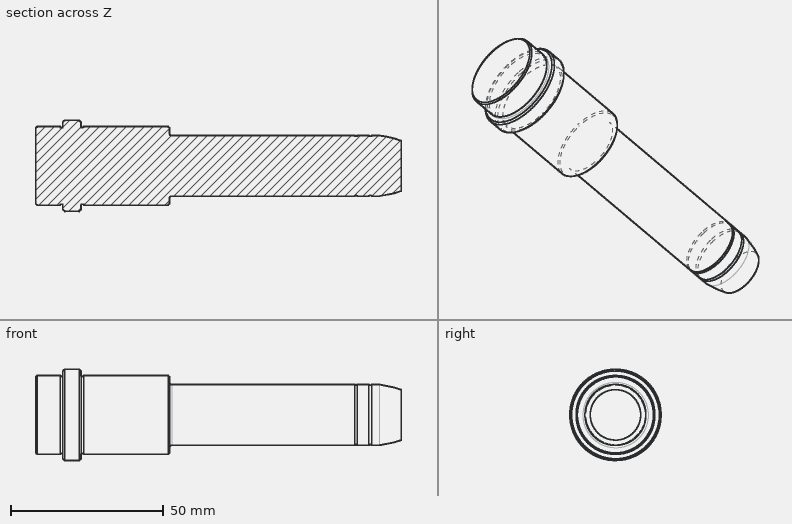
import cadquery as cq
import math

LENGTH = 120.0
COLLAR_START = 8.9
COLLAR_END = 14.9
SHOULDER_END = 43.9
TIP_START = 112.8

HEAD_RADIUS = 13.0
COLLAR_RADIUS = 30.0 / 2
SHANK_RADIUS = 20.0 / 2
TIP_RADIUS = 8.3

HEAD_CHAMFER = 0.5
COLLAR_CHAMFER = 0.6
SHOULDER_CHAMFER = 0.5
SHANK_FILLET = 0.7
RELIEF_WIDTH = 0.8
RELIEF_DEPTH = 0.4
TIP_BULGE = 0.2

SHANK_GROOVES = [(104.8, 0.7), (109.3, 1.0)]
SHANK_GROOVE_DEPTH = 0.2


def revolve_about_x(profile):
    return profile.close().revolve(360, (0, 0, 0), (1, 0, 0))


def pin_body():
    """Head, collar, seat, shank and rounded tip as one turned profile."""
    tip_middle = ((TIP_START + LENGTH) / 2, (SHANK_RADIUS + TIP_RADIUS) / 2 + TIP_BULGE)
    arc_offset = SHANK_FILLET * (1 - math.sqrt(0.5))
    profile = (
        cq.Workplane("XY")
        .moveTo(0, 0)
        .lineTo(0, HEAD_RADIUS - HEAD_CHAMFER)
        .lineTo(HEAD_CHAMFER, HEAD_RADIUS)
        .lineTo(COLLAR_START, HEAD_RADIUS)
        .lineTo(COLLAR_START, COLLAR_RADIUS - COLLAR_CHAMFER)
        .lineTo(COLLAR_START + COLLAR_CHAMFER, COLLAR_RADIUS)
        .lineTo(COLLAR_END - COLLAR_CHAMFER, COLLAR_RADIUS)
        .lineTo(COLLAR_END, COLLAR_RADIUS - COLLAR_CHAMFER)
        .lineTo(COLLAR_END, HEAD_RADIUS)
        .lineTo(SHOULDER_END - SHOULDER_CHAMFER, HEAD_RADIUS)
        .lineTo(SHOULDER_END, HEAD_RADIUS - SHOULDER_CHAMFER)
        .lineTo(SHOULDER_END, SHANK_RADIUS + SHANK_FILLET)
        .threePointArc(
            (SHOULDER_END + arc_offset, SHANK_RADIUS + arc_offset),
            (SHOULDER_END + SHANK_FILLET, SHANK_RADIUS),
        )
        .lineTo(TIP_START, SHANK_RADIUS)
        .threePointArc(tip_middle, (LENGTH, TIP_RADIUS))
        .lineTo(LENGTH, 0)
    )
    return revolve_about_x(profile)


def round_groove(start, width, surface_radius, depth):
    """Ring with an arc-shaped floor, cut into a cylinder of the given radius."""
    profile = (
        cq.Workplane("XY")
        .moveTo(start, surface_radius)
        .threePointArc((start + width / 2, surface_radius - depth), (start + width, surface_radius))
    )
    return revolve_about_x(profile)


result = pin_body()
for relief_start in (COLLAR_START - RELIEF_WIDTH, COLLAR_END):
    result = result.cut(round_groove(relief_start, RELIEF_WIDTH, HEAD_RADIUS, RELIEF_DEPTH))
for groove_start, groove_width in SHANK_GROOVES:
    result = result.cut(round_groove(groove_start, groove_width, SHANK_RADIUS, SHANK_GROOVE_DEPTH))